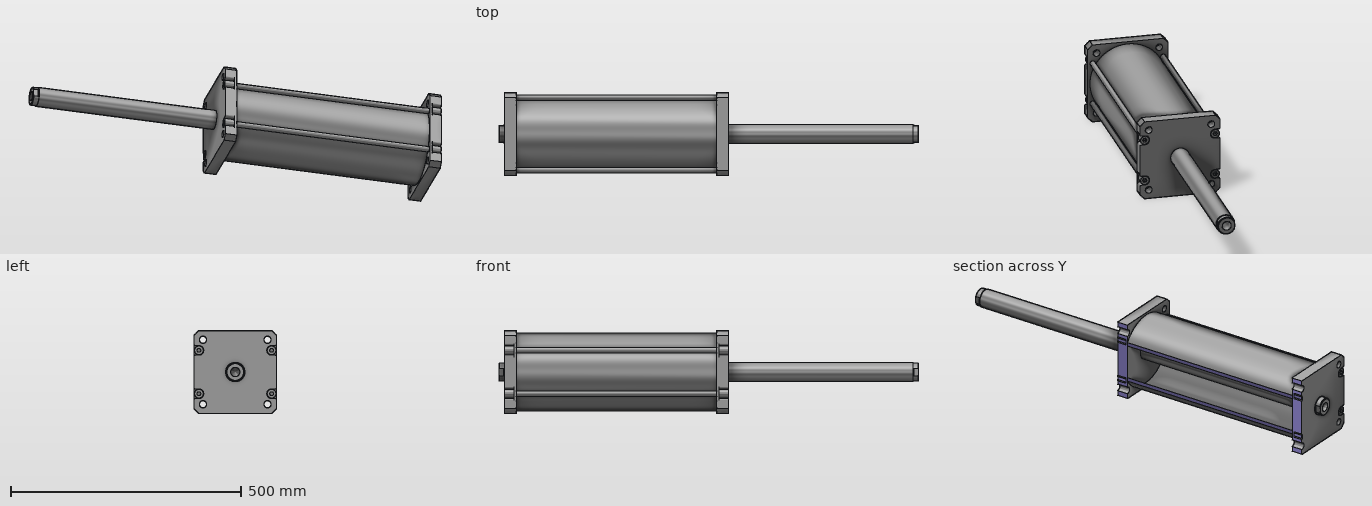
import cadquery as cq
import math


PLATE_SIDE = 180.0
PLATE_THICKNESS = 26.0
PLATE_TURNED_DIAMETER = 240.0
MOUNT_HOLE_PITCH = 140.0
MOUNT_HOLE_DIAMETER = 15.0

TUBE_LENGTH = 435.0
TUBE_OUTER_DIAMETER = 170.0
TUBE_BORE = 160.0

BODY_LENGTH = TUBE_LENGTH + 2 * PLATE_THICKNESS

TIE_ROD_DIAMETER = 12.0
TIE_ROD_Y = 78.8
TIE_ROD_Z = 47.0
HEAD_DIAMETER = 19.0
HEAD_SOCKET_WIDTH = 8.0
HEAD_SOCKET_DEPTH = 8.0
POCKET_WIDTH = 21.0
POCKET_DEPTH = 21.0
POCKET_MOUTH_RADIUS = 3.5

ROD_DIAMETER = 42.0
ROD_REAR_PROJECTION = 12.0
ROD_FRONT_PROJECTION = 412.5
ROD_TIP_DIAMETER = 39.5
ROD_TIP_LENGTH = 13.0
ROD_TIP_CHAMFER = 1.5
FLAT_WIDTH = 36.0
FLAT_LENGTH = 10.8
BORE_DIAMETER = 20.0
BORE_DEPTH = 40.0
DRILL_POINT_ANGLE = 118.0
DRILL_POINT_LENGTH = BORE_DIAMETER / 2 / math.tan(math.radians(DRILL_POINT_ANGLE / 2))
ROD_END_LENGTH = BORE_DEPTH + DRILL_POINT_LENGTH

TIE_ROD_POSITIONS = [(y, z) for y in (-TIE_ROD_Y, TIE_ROD_Y) for z in (-TIE_ROD_Z, TIE_ROD_Z)]


def cylinder_x(x_start, length, diameter, y=0.0, z=0.0):
    """Cylinder along +X."""
    return cq.Workplane("YZ", origin=(x_start, y, z)).circle(diameter / 2).extrude(length)


def head_pocket(y, z):
    """Round-ended pocket in the outer face at x = 0, open to the nearer side with a flared mouth."""
    side = math.copysign(1, y)
    edge = side * PLATE_SIDE / 2
    half = POCKET_WIDTH / 2
    mouth_half = half + POCKET_MOUTH_RADIUS
    mouth_start = edge - side * POCKET_MOUTH_RADIUS
    arc_inset = POCKET_MOUTH_RADIUS * math.sqrt(0.5)
    arc_y = mouth_start + side * arc_inset
    arc_half = mouth_half - arc_inset
    return (
        cq.Workplane("YZ")
        .moveTo(edge, z + mouth_half)
        .threePointArc((arc_y, z + arc_half), (mouth_start, z + half))
        .lineTo(y, z + half)
        .threePointArc((y - side * half, z), (y, z - half))
        .lineTo(mouth_start, z - half)
        .threePointArc((arc_y, z - arc_half), (edge, z - mouth_half))
        .close()
        .extrude(POCKET_DEPTH)
    )


def make_rear_plate():
    plate = (
        cq.Workplane("YZ")
        .rect(PLATE_SIDE, PLATE_SIDE)
        .extrude(PLATE_THICKNESS)
        .intersect(cylinder_x(0, PLATE_THICKNESS, PLATE_TURNED_DIAMETER))
        .faces("<X")
        .workplane(centerOption="CenterOfBoundBox")
        .rect(MOUNT_HOLE_PITCH, MOUNT_HOLE_PITCH, forConstruction=True)
        .vertices()
        .hole(MOUNT_HOLE_DIAMETER)
    )
    plate = plate.cut(cylinder_x(0, PLATE_THICKNESS, ROD_DIAMETER))
    for y, z in TIE_ROD_POSITIONS:
        plate = plate.cut(head_pocket(y, z))
        plate = plate.cut(cylinder_x(0, PLATE_THICKNESS, TIE_ROD_DIAMETER, y, z))
    return plate


def mirror_to_front(body):
    """Copy of a rear feature at the opposite end of the cylinder body."""
    return body.mirror("YZ", (BODY_LENGTH / 2, 0, 0))


def make_tube():
    outside = cylinder_x(PLATE_THICKNESS, TUBE_LENGTH, TUBE_OUTER_DIAMETER)
    return outside.cut(cylinder_x(PLATE_THICKNESS, TUBE_LENGTH, TUBE_BORE))


def make_tie_rod(y, z):
    """Tie rod with a hex-socket head flush with the outer face of each plate."""
    hex_corners = HEAD_SOCKET_WIDTH / math.cos(math.pi / 6)
    head = cylinder_x(0, POCKET_DEPTH, HEAD_DIAMETER, y, z)
    socket = (
        cq.Workplane("YZ", origin=(0, y, z)).polygon(6, hex_corners).extrude(HEAD_SOCKET_DEPTH)
    )
    head = head.cut(socket)
    shank_length = BODY_LENGTH - 2 * POCKET_DEPTH
    shank = cylinder_x(POCKET_DEPTH, shank_length, TIE_ROD_DIAMETER, y, z)
    return shank.union(head).union(mirror_to_front(head))


def rod_end(x_end, inward):
    """Finished rod end: turned-down tip with two flats and a drilled bore; inward is +1 or -1 along X."""
    tip_radius = ROD_TIP_DIAMETER / 2
    bore_radius = BORE_DIAMETER / 2
    profile = [
        (0, bore_radius),
        (0, tip_radius - ROD_TIP_CHAMFER),
        (ROD_TIP_CHAMFER, tip_radius),
        (ROD_TIP_LENGTH, tip_radius),
        (ROD_TIP_LENGTH, ROD_DIAMETER / 2),
        (ROD_END_LENGTH, ROD_DIAMETER / 2),
        (ROD_END_LENGTH, 0),
        (BORE_DEPTH, bore_radius),
    ]
    points = [(x_end + inward * depth, radius) for depth, radius in profile]
    end = cq.Workplane("XY").polyline(points).close().revolve(360, (0, 0, 0), (1, 0, 0))
    cutter_size = ROD_DIAMETER
    for side in (-1, 1):
        flat_cutter = cq.Workplane("XY").box(FLAT_LENGTH, cutter_size, cutter_size).translate(
            (x_end + inward * FLAT_LENGTH / 2, side * (FLAT_WIDTH + cutter_size) / 2, 0)
        )
        end = end.cut(flat_cutter)
    return end


def make_piston_rod():
    rear_x = -ROD_REAR_PROJECTION
    front_x = BODY_LENGTH + ROD_FRONT_PROJECTION
    middle_length = front_x - rear_x - 2 * ROD_END_LENGTH
    middle = cylinder_x(rear_x + ROD_END_LENGTH, middle_length, ROD_DIAMETER)
    return middle.union(rod_end(rear_x, 1)).union(rod_end(front_x, -1))


rear_plate = make_rear_plate()
front_plate = mirror_to_front(rear_plate)
tube = make_tube()
piston_rod = make_piston_rod()
tie_rods = [make_tie_rod(y, z) for y, z in TIE_ROD_POSITIONS]

result = cq.Compound.makeCompound(
    [body.solids().val() for body in (rear_plate, front_plate, tube, piston_rod)]
    + [tie_rod.solids().val() for tie_rod in tie_rods]
)